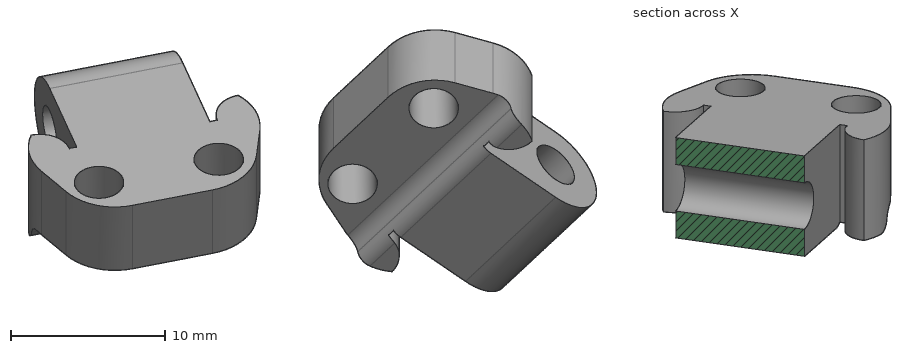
import cadquery as cq
import math

length = 16.27
width = 15.35
height = 7.0
hole_diameter = 3.2

hinge_radius = height / 2
body_half_width = 4.5

head_half_width = width / 2
corner_radius = 4.0
hook_center_x = 9.85
rear_center_x = length - corner_radius
hook_center_y = head_half_width - corner_radius
rear_center_y = 2.72

notch_x = 9.63
hook_inner_y = 5.01
hook_inner_radius = 2.0

mount_hole_x = 13.44
mount_hole_spacing = 8.1
mount_hole_offset_y = -0.08

step_height = 1.6
step_end_x = 10.97
step_radius = 1.0


def point_on_circle(center_x, center_y, radius, angle):
    return (center_x + radius * math.cos(angle), center_y + radius * math.sin(angle))


def side_profile():
    """Rounded hinge end and S-shaped step underneath, extruded across the full width."""
    center_rise = 2 * step_radius - step_height
    step_run = math.sqrt((2 * step_radius) ** 2 - center_rise ** 2)
    step_start_x = step_end_x - step_run
    step_middle = (step_end_x - step_run / 2, step_height / 2)
    lean = math.asin(center_rise / (2 * step_radius))
    lower_mid_angle = (-math.pi / 2 - lean) / 2
    upper_mid_angle = lower_mid_angle + math.pi
    lower_mid = point_on_circle(step_start_x, step_radius, step_radius, lower_mid_angle)
    upper_mid = point_on_circle(step_end_x, step_height - step_radius, step_radius, upper_mid_angle)
    return (
        cq.Workplane("XZ")
        .moveTo(hinge_radius, 0)
        .lineTo(step_start_x, 0)
        .threePointArc(lower_mid, step_middle)
        .threePointArc(upper_mid, (step_end_x, step_height))
        .lineTo(length, step_height)
        .lineTo(length, height)
        .lineTo(hinge_radius, height)
        .threePointArc((0, hinge_radius), (hinge_radius, 0))
        .close()
        .extrude(head_half_width, both=True)
    )


def half_plan():
    """Plan outline of the +Y half: body, hook and rounded rear corner."""
    flank_slope = math.atan2(hook_center_y - rear_center_y, rear_center_x - hook_center_x)
    flank_normal = math.pi / 2 - flank_slope
    flank_start = point_on_circle(hook_center_x, hook_center_y, corner_radius, flank_normal)
    flank_end = point_on_circle(rear_center_x, rear_center_y, corner_radius, flank_normal)
    corner_mid = point_on_circle(rear_center_x, rear_center_y, corner_radius, flank_normal / 2)

    tip_x = notch_x - hook_inner_radius
    tip_y = hook_center_y + math.sqrt(corner_radius ** 2 - (tip_x - hook_center_x) ** 2)
    return (
        cq.Workplane("XY")
        .lineTo(0, body_half_width)
        .lineTo(notch_x, body_half_width)
        .lineTo(notch_x, hook_inner_y)
        .radiusArc((tip_x, tip_y), hook_inner_radius)
        .threePointArc((hook_center_x, head_half_width), flank_start)
        .lineTo(*flank_end)
        .threePointArc(corner_mid, (length, rear_center_y))
        .lineTo(length, 0)
        .close()
        .extrude(height)
    )


def hinge_hole():
    return (
        cq.Workplane("XZ")
        .center(hinge_radius, hinge_radius)
        .circle(hole_diameter / 2)
        .extrude(body_half_width, both=True)
    )


def mounting_holes():
    return (
        cq.Workplane("XY")
        .pushPoints([(mount_hole_x, mount_hole_offset_y + side * mount_hole_spacing / 2) for side in (-1, 1)])
        .circle(hole_diameter / 2)
        .extrude(height)
    )


plan = half_plan()
plan = plan.union(plan.mirror("XZ"))
result = plan.intersect(side_profile()).cut(hinge_hole()).cut(mounting_holes()).clean()